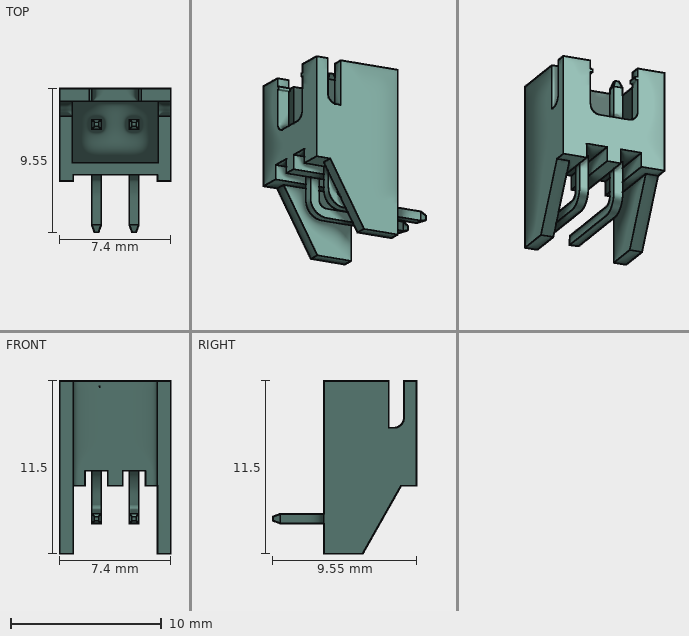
import cadquery as cq
import math

WIDTH = 7.4
HEIGHT = 11.5
DEPTH = 6.15
LEG_THICKNESS = 0.91
PANEL_RECESS = 0.41
BODY_BOTTOM = 4.52
BACK_LEDGE = 1.04
FOOT_LENGTH = 2.56

BACK_WALL = 0.85
SIDE_WALL = 0.85
FRONT_WALL = 0.8
FLOOR_THICKNESS = 1.0

SLOT_RADIUS = 0.67
SIDE_SLOT_FRONT = 1.84
SIDE_SLOT_DEPTH = 3.12
TAB_SLOT_WIDTH = 3.45
TAB_SLOT_DEPTH = 3.77

RIB_DROP = 0.71
RIB_REACH = 0.17
RIB_HEIGHT = 0.22
RIB_ROUND = 0.05

PIN_PITCH = 2.5
PIN_COUNT = 2
PIN_SIZE = 0.64
PIN_Y = -2.38
PIN_TOP = 11.32
PIN_TAIL_Z = 2.35
PIN_END_Y = -9.55
PIN_TIP_LENGTH = 0.5
PIN_TIP_SIZE = 0.28
BEND_INNER_RADIUS = 0.58
NOTCH_WIDTH = 1.5
NOTCH_HEIGHT = 1.0

PIN_XS = [(i - (PIN_COUNT - 1) / 2) * PIN_PITCH for i in range(PIN_COUNT)]
CAVITY_BOTTOM = BODY_BOTTOM + NOTCH_HEIGHT + FLOOR_THICKNESS


def box(x_range, y_range, z_range):
    """Axis-aligned box between the given limits."""
    (x0, x1), (y0, y1), (z0, z1) = x_range, y_range, z_range
    return cq.Workplane("XY").box(x1 - x0, y1 - y0, z1 - z0, centered=False).translate((x0, y0, z0))


def side_profile_block():
    """Full-width block with the side outline: flat ledge, slope and foot."""
    outline = [
        (0, HEIGHT),
        (0, BODY_BOTTOM),
        (-BACK_LEDGE, BODY_BOTTOM),
        (FOOT_LENGTH - DEPTH, 0),
        (-DEPTH, 0),
        (-DEPTH, HEIGHT),
    ]
    return cq.Workplane("YZ").polyline(outline).close().extrude(WIDTH / 2, both=True)


def leg_gap():
    """Space between the legs: below the body and in front of the recessed panel."""
    inner = WIDTH / 2 - LEG_THICKNESS
    below = box((-inner, inner), (-DEPTH, 0), (0, BODY_BOTTOM))
    ahead = box((-inner, inner), (-DEPTH, PANEL_RECESS - DEPTH), (0, HEIGHT))
    return below.union(ahead)


def cavity():
    inner = WIDTH / 2 - SIDE_WALL
    front = PANEL_RECESS + FRONT_WALL - DEPTH
    return box((-inner, inner), (front, -BACK_WALL), (CAVITY_BOTTOM, HEIGHT))


def side_slots():
    """Slot across both side walls, rounded in its back lower corner only."""
    bottom = HEIGHT - SIDE_SLOT_DEPTH
    slot = box((-WIDTH / 2, WIDTH / 2), (-SIDE_SLOT_FRONT, -BACK_WALL), (bottom, HEIGHT))
    return slot.edges("|X and >Y and <Z").fillet(SLOT_RADIUS)


def tab_slot():
    """Middle slot of the back wall with two rounded lower corners."""
    half = TAB_SLOT_WIDTH / 2
    slot = box((-half, half), (-BACK_WALL, 0), (HEIGHT - TAB_SLOT_DEPTH, HEIGHT))
    return slot.edges("|Y and <Z").fillet(SLOT_RADIUS)


def latch_rib(side):
    """Rib on a tab's inner edge, rounded at its tip and root; side is -1 or +1 along X."""
    half = RIB_HEIGHT / 2
    profile = (
        cq.Sketch()
        .push([(-RIB_REACH / 2, 0)])
        .rect(RIB_REACH, RIB_HEIGHT)
        .reset()
        .vertices("<X")
        .fillet(RIB_ROUND)
        .reset()
    )
    root = cq.Workplane("XZ").rect(2 * RIB_ROUND, RIB_HEIGHT + 2 * RIB_ROUND).extrude(BACK_WALL)
    root_hollows = (
        cq.Workplane("XZ")
        .pushPoints([(-RIB_ROUND, half + RIB_ROUND), (-RIB_ROUND, -half - RIB_ROUND)])
        .circle(RIB_ROUND)
        .extrude(BACK_WALL)
    )
    rib = cq.Workplane("XZ").placeSketch(profile).extrude(BACK_WALL).union(root.cut(root_hollows))
    if side < 0:
        rib = rib.mirror("YZ")
    return rib.translate((side * TAB_SLOT_WIDTH / 2, 0, HEIGHT - RIB_DROP))


def pin_notch(x):
    """Notch through the full depth of the body's underside, around one pin."""
    half = NOTCH_WIDTH / 2
    return box((x - half, x + half), (-DEPTH, 0), (BODY_BOTTOM, BODY_BOTTOM + NOTCH_HEIGHT))


def make_pin(x):
    """Square pin bent from vertical to horizontal, with a tapered tip at each end."""
    radius = BEND_INNER_RADIUS + PIN_SIZE / 2
    upper_end = PIN_TOP - PIN_TIP_LENGTH
    tail_end = PIN_END_Y + PIN_TIP_LENGTH
    arc_step = radius * (1 - math.sqrt(0.5))
    path = (
        cq.Workplane("YZ", origin=(x, 0, 0))
        .moveTo(PIN_Y, upper_end)
        .lineTo(PIN_Y, PIN_TAIL_Z + radius)
        .threePointArc((PIN_Y - arc_step, PIN_TAIL_Z + arc_step), (PIN_Y - radius, PIN_TAIL_Z))
        .lineTo(tail_end, PIN_TAIL_Z)
    )
    upper_plane = cq.Workplane("XY", origin=(x, PIN_Y, upper_end))
    tail_plane = cq.Workplane("XZ", origin=(x, tail_end, PIN_TAIL_Z))
    shank = upper_plane.rect(PIN_SIZE, PIN_SIZE).sweep(path)
    return shank.union(pin_tip(upper_plane)).union(pin_tip(tail_plane))


def pin_tip(plane):
    """Pyramid frustum that continues a pin end along the plane's normal."""
    base = plane.rect(PIN_SIZE, PIN_SIZE)
    return base.workplane(offset=PIN_TIP_LENGTH).rect(PIN_TIP_SIZE, PIN_TIP_SIZE).loft(combine=False)


def make_housing(pins):
    body = side_profile_block().cut(leg_gap()).cut(cavity()).cut(side_slots()).cut(tab_slot())
    for side in (-1, 1):
        body = body.union(latch_rib(side))
    for x in PIN_XS:
        body = body.cut(pin_notch(x))
    for pin in pins:
        body = body.cut(pin)
    return body


pins = [make_pin(x) for x in PIN_XS]
housing = make_housing(pins)

result = cq.Compound.makeCompound([housing.val(), *[pin.val() for pin in pins]])